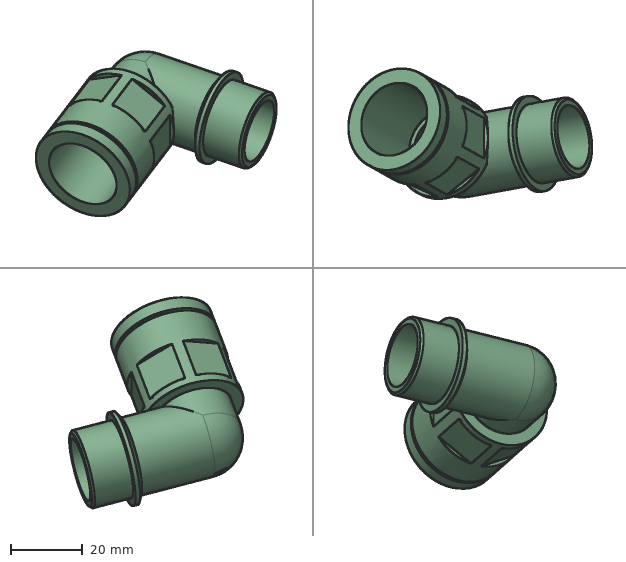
import cadquery as cq

pipe_diameter = 22.5
bore_diameter = 18.0

spigot_end = 35.75
spigot_chamfer = 0.65
flange_diameter = 27.0
flange_start = 21.25
flange_end = 23.9
flange_rim_width = 1.35

body_diameter = 29.5
body_start = 8.95
flats_start = 11.3
flats_end = 23.35
groove_start = 33.55
groove_end = 34.4
socket_end = 38.25
across_flats = 27.0
flat_count = 6
socket_diameter = 21.15
socket_floor = flats_start


def disc_x(diameter, start, end):
    """Cylinder on the spigot axis between two distances from the elbow centre."""
    return cq.Workplane("YZ").workplane(offset=start).circle(diameter / 2).extrude(end - start)


def disc_y(diameter, start, end):
    """Cylinder on the socket axis between two distances from the elbow centre."""
    return cq.Workplane("XZ").workplane(offset=start).circle(diameter / 2).extrude(end - start)


def elbow(diameter):
    """Two round arms joined by a ball at the corner."""
    ball = cq.Workplane("XY").sphere(diameter / 2)
    return ball.union(disc_x(diameter, 0, spigot_end)).union(disc_y(diameter, 0, socket_end))


def flange():
    """Stop ring on the spigot, with a cone on the side facing the elbow."""
    cone_end = flange_end - flange_rim_width
    return (
        cq.Workplane("XY")
        .moveTo(flange_start, 0)
        .lineTo(flange_start, pipe_diameter / 2)
        .lineTo(cone_end, flange_diameter / 2)
        .lineTo(flange_end, flange_diameter / 2)
        .lineTo(flange_end, 0)
        .close()
        .revolve(360, (0, 0, 0), (1, 0, 0))
    )


def socket_body():
    """Round body with six wrench flats, followed by the separate release ring."""
    body = disc_y(body_diameter, body_start, groove_start)
    flats_length = flats_end - flats_start
    for index in range(flat_count):
        cutter = (
            cq.Workplane("XZ")
            .workplane(offset=flats_start)
            .center(across_flats / 2 + body_diameter / 2, 0)
            .rect(body_diameter, body_diameter)
            .extrude(flats_length)
            .rotate((0, 0, 0), (0, 1, 0), index * 360 / flat_count)
        )
        body = body.cut(cutter)
    return body.union(disc_y(body_diameter, groove_end, socket_end))


outside = elbow(pipe_diameter).faces(">X").edges().chamfer(spigot_chamfer)
outside = outside.union(flange()).union(socket_body())

result = outside.cut(elbow(bore_diameter)).cut(disc_y(socket_diameter, socket_floor, socket_end))